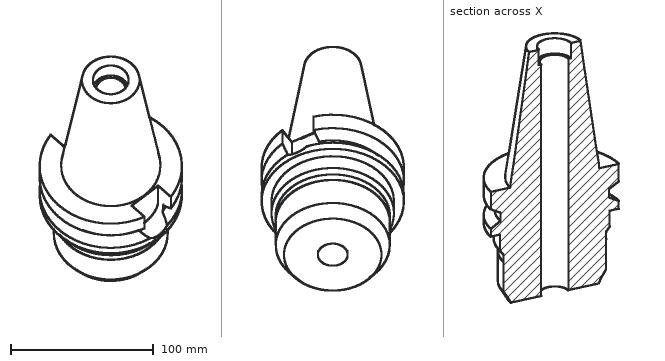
import cadquery as cq

total_height = 194.5
nose_chamfer_top = 10.0
nose_top = 33.8
collar_cone_bottom = 39.5
collar_cone_top = 43.2
flange_bottom = 55.5
groove_lower_edge = 61.9
groove_floor_bottom = 66.3
groove_floor_top = 72.5
groove_upper_edge = 77.0
flange_top = 91.0
taper_bottom = 93.0

nose_face_radius = 34.2
nose_radius = 40.0
neck_radius = 40.3
collar_radius = 43.0
flange_radius = 50.0
groove_radius = 42.4
taper_base_radius = 34.8
taper_tip_radius = 20.2

bore_radius = 10.5
counterbore_radius = 12.5
counterbore_depth = 12.0

slot_width = 25.3
slot_bottom = 59.0
slot_floor_distance = 35.2


def turned_body():
    """Revolve the outer profile around Z."""
    profile = [
        (0, 0),
        (nose_face_radius, 0),
        (nose_radius, nose_chamfer_top),
        (nose_radius, nose_top),
        (neck_radius, nose_top),
        (neck_radius, collar_cone_bottom),
        (collar_radius, collar_cone_top),
        (collar_radius, flange_bottom),
        (flange_radius, flange_bottom),
        (flange_radius, groove_lower_edge),
        (groove_radius, groove_floor_bottom),
        (groove_radius, groove_floor_top),
        (flange_radius, groove_upper_edge),
        (flange_radius, flange_top),
        (taper_base_radius, flange_top),
        (taper_base_radius, taper_bottom),
        (taper_tip_radius, total_height),
        (0, total_height),
    ]
    return cq.Workplane("XZ").polyline(profile).close().revolve(360, (0, 0), (0, 1))


def drive_slot(side):
    """Round-bottomed slot, open at the flange top and rim, on the given side of X."""
    half_width = slot_width / 2
    arc_start = slot_bottom + half_width
    return (
        cq.Workplane("YZ")
        .workplane(offset=side * slot_floor_distance)
        .moveTo(-half_width, flange_top)
        .lineTo(-half_width, arc_start)
        .threePointArc((0, slot_bottom), (half_width, arc_start))
        .lineTo(half_width, flange_top)
        .close()
        .extrude(side * flange_radius)
    )


result = turned_body()

for side in (-1, 1):
    result = result.cut(drive_slot(side))

result = (
    result.faces(">Z")
    .workplane()
    .cboreHole(2 * bore_radius, 2 * counterbore_radius, counterbore_depth)
)